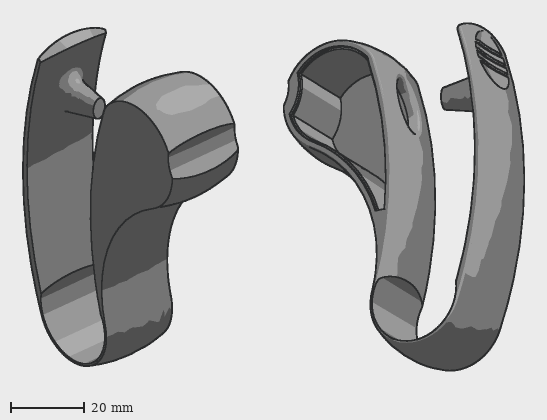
import cadquery as cq
import math

WIDTH = 24.0
HALF_WIDTH = WIDTH / 2
CROWN = 1.5
BACK_FILLET = 0.6

LOOP_INNER_R = 13.3
LOOP_OUTER_R = 15.5

HEAD_CENTER = (25.8, 63.7)
HEAD_R = 17.2
NECK_R = 38.6
ARM_OUTER_R = 121.9
ARM_CENTER_Z = 37.6
ARM_INNER_CENTER = (102.0, 39.1)
ARM_INNER_R = 119.6
HEAD_SIDE_CENTER = (119.6, 37.0)
HEAD_SIDE_R = 113.8
GAP_LEFT_Z = 1.9
GAP_RIGHT_Z = 5.8
HEAD_CORNER_FILLET = 7.7

TIP_OUTER_Z = 79.5
TIP_INNER_Z = 77.7
TIP_FILLET = 0.6
TIP_DROP = 1.6

NOTCH_CENTER = (49.8, 68.9)
NOTCH_R = 10.0

POCKET_WALL = 3.8
LID_LEDGE = 0.6
LID_DEPTH = 1.0
POCKET_FLOOR = 1.9
POCKET_BOTTOM_Z = 27.0

LATCH_Y = -0.3

POST_Z = 61.0
POST_ROOT_X = -17.4
POST_END_X = -2.5
POST_ROOT_SIZE = (9.6, 12.15)
POST_END_SIZE = (4.2, 6.5)
POST_TILT_DROP = 0.8
POST_FILLET = 3.4
OPENING_SIZE = (9.3, 16.0)
OPENING_FILLET = 1.35

DISH_Z = 69.4
DISH_ROUND_R = 50.1
DISH_ALONG_R = 38.6
DISH_HALF_LENGTH = 11.6
DISH_DEPTH = 1.35
RIB_HEIGHT = 0.4
RIB_WIDTH = 1.0
RIB_PITCH = 2.9
RIB_MIDDLE_Z = 70.0

ARM_CENTER = (math.sqrt((ARM_OUTER_R - LOOP_OUTER_R) ** 2 - ARM_CENTER_Z**2), ARM_CENTER_Z)


def circle_crossing(center_a, radius_a, center_b, radius_b, side):
    """Crossing of two circles; side +1 is left of the line from a to b, -1 is right."""
    dx = center_b[0] - center_a[0]
    dz = center_b[1] - center_a[1]
    gap = math.hypot(dx, dz)
    along = (radius_a**2 - radius_b**2 + gap**2) / (2 * gap)
    across = side * math.sqrt(radius_a**2 - along**2)
    x = center_a[0] + (along * dx - across * dz) / gap
    z = center_a[1] + (along * dz + across * dx) / gap
    return (x, z)


NECK_CENTER = circle_crossing(
    (0, 0), LOOP_OUTER_R + NECK_R, HEAD_CENTER, HEAD_R + NECK_R, -1
)


def toward(start, target, distance):
    """Point at a distance from start on the line to target."""
    length = math.hypot(target[0] - start[0], target[1] - start[1])
    x = start[0] + (target[0] - start[0]) * distance / length
    z = start[1] + (target[1] - start[1]) * distance / length
    return (x, z)


def left_point(center, radius, z):
    """Point at height z on the left half of a circle."""
    return (center[0] - math.sqrt(radius**2 - (z - center[1]) ** 2), z)


def arc_middle(center, radius, start, end):
    """Middle of the shorter arc between two points of a circle."""
    chord_middle = ((start[0] + end[0]) / 2, (start[1] + end[1]) / 2)
    return toward(center, chord_middle, radius)


def xz_plane(y):
    return cq.Workplane("XZ", origin=(0, y, 0))


def side_outline(y, inset):
    """Closed outline of the clip, without the round loop opening, shrunk by an inset."""
    loop_r = LOOP_OUTER_R - inset
    neck_r = NECK_R + inset
    head_r = HEAD_R - inset
    arm_outer_r = ARM_OUTER_R - inset
    arm_inner_r = ARM_INNER_R + inset
    head_side_r = HEAD_SIDE_R - inset

    tip_outer = left_point(ARM_CENTER, arm_outer_r, TIP_OUTER_Z - TIP_DROP * inset)
    tip_inner = left_point(ARM_INNER_CENTER, arm_inner_r, TIP_INNER_Z - TIP_DROP * inset)
    arm_end = toward(ARM_CENTER, (0, 0), arm_outer_r)
    neck_start = toward((0, 0), NECK_CENTER, loop_r)
    neck_end = toward(HEAD_CENTER, NECK_CENTER, head_r)
    head_corner = circle_crossing(HEAD_CENTER, head_r, HEAD_SIDE_CENTER, head_side_r, 1)
    gap_right = left_point(HEAD_SIDE_CENTER, head_side_r, GAP_RIGHT_Z)
    gap_left = left_point(ARM_INNER_CENTER, arm_inner_r, GAP_LEFT_Z)

    return (
        xz_plane(y)
        .moveTo(*tip_outer)
        .threePointArc(arc_middle(ARM_CENTER, arm_outer_r, tip_outer, arm_end), arm_end)
        .threePointArc((0, -loop_r), neck_start)
        .threePointArc(arc_middle(NECK_CENTER, neck_r, neck_start, neck_end), neck_end)
        .threePointArc((HEAD_CENTER[0] + head_r, HEAD_CENTER[1]), head_corner)
        .threePointArc(
            arc_middle(HEAD_SIDE_CENTER, head_side_r, head_corner, gap_right), gap_right
        )
        .lineTo(*gap_left)
        .threePointArc(
            arc_middle(ARM_INNER_CENTER, arm_inner_r, gap_left, tip_inner), tip_inner
        )
        .close()
        .val()
    )


def crowned_body():
    sections = [
        side_outline(-HALF_WIDTH, CROWN),
        side_outline(0, 0),
        side_outline(HALF_WIDTH, CROWN),
    ]
    body = cq.Workplane(cq.Solid.makeLoft(sections))
    corner = circle_crossing(HEAD_CENTER, HEAD_R, HEAD_SIDE_CENTER, HEAD_SIDE_R, 1)
    corner_edge = cq.selectors.NearestToPointSelector((corner[0], 0, corner[1]))
    tip = left_point(ARM_CENTER, ARM_OUTER_R, TIP_OUTER_Z)
    tip_edge = cq.selectors.NearestToPointSelector((tip[0], 0, tip[1]))
    body = body.edges(corner_edge).fillet(HEAD_CORNER_FILLET)
    body = body.edges(tip_edge).fillet(TIP_FILLET)
    return body.faces(">Y").edges().fillet(BACK_FILLET)


def cylinder_across(center, radius):
    return xz_plane(WIDTH).center(*center).circle(radius).extrude(2 * WIDTH)


def pocket_layer(wall, depth):
    """Head-shaped cavity, a wall thickness inside the outline, cut in from the +Y face."""
    head_r = HEAD_R - wall
    neck_r = NECK_R + wall
    side_r = HEAD_SIDE_R - wall
    left_end = left_point(HEAD_SIDE_CENTER, side_r, POCKET_BOTTOM_Z)
    right_end = left_point(NECK_CENTER, neck_r, POCKET_BOTTOM_Z)
    neck_end = toward(HEAD_CENTER, NECK_CENTER, head_r)
    corner = circle_crossing(HEAD_CENTER, head_r, HEAD_SIDE_CENTER, side_r, 1)
    head_far = (HEAD_CENTER[0] + head_r, HEAD_CENTER[1])
    return (
        xz_plane(HALF_WIDTH)
        .moveTo(*left_end)
        .threePointArc(arc_middle(HEAD_SIDE_CENTER, side_r, left_end, corner), corner)
        .threePointArc(head_far, neck_end)
        .threePointArc(arc_middle(NECK_CENTER, neck_r, neck_end, right_end), right_end)
        .close()
        .extrude(depth)
        .cut(cylinder_across(NOTCH_CENTER, NOTCH_R + wall))
    )


def pocket():
    cavity = pocket_layer(POCKET_WALL, WIDTH - POCKET_FLOOR)
    return cavity.union(pocket_layer(POCKET_WALL - LID_LEDGE, LID_DEPTH))


def post():
    return (
        cq.Workplane("YZ", origin=(POST_ROOT_X, LATCH_Y, POST_Z - POST_TILT_DROP))
        .ellipse(POST_ROOT_SIZE[0] / 2, POST_ROOT_SIZE[1] / 2)
        .workplane(offset=POST_END_X - POST_ROOT_X)
        .center(0, POST_TILT_DROP)
        .ellipse(POST_END_SIZE[0] / 2, POST_END_SIZE[1] / 2)
        .loft()
    )


def opening():
    return (
        cq.Workplane("YZ", origin=(0, LATCH_Y, POST_Z))
        .ellipse(OPENING_SIZE[0] / 2, OPENING_SIZE[1] / 2)
        .extrude(HEAD_CENTER[0])
    )


def scoop(depth):
    """Doubly curved cutter whose deepest point lies a depth below the outside of the arm."""
    surface = left_point(ARM_CENTER, ARM_OUTER_R, DISH_Z)
    deepest = toward(ARM_CENTER, surface, ARM_OUTER_R - depth)
    tilt = math.degrees(math.asin((DISH_Z - ARM_CENTER[1]) / ARM_OUTER_R))
    end_x = math.sqrt(DISH_ALONG_R**2 - DISH_HALF_LENGTH**2) - DISH_ALONG_R
    return (
        cq.Workplane("XZ")
        .moveTo(end_x, -DISH_HALF_LENGTH)
        .threePointArc((0, 0), (end_x, DISH_HALF_LENGTH))
        .close()
        .revolve(360, (-DISH_ROUND_R, 0), (-DISH_ROUND_R, 1))
        .rotate((0, 0, 0), (0, 1, 0), tilt)
        .translate((deepest[0], LATCH_Y, deepest[1]))
    )


def dish():
    surface = left_point(ARM_CENTER, ARM_OUTER_R, DISH_Z)
    cutter = scoop(DISH_DEPTH)
    for step in (-1, 0, 1):
        rib_z = RIB_MIDDLE_Z + step * RIB_PITCH
        rib = cq.Workplane("XY").box(WIDTH, WIDTH, RIB_WIDTH)
        cutter = cutter.cut(rib.translate((surface[0], 0, rib_z)))
    return cutter.union(scoop(DISH_DEPTH - RIB_HEIGHT))


def fillet_post_root(body):
    root_point = left_point(ARM_INNER_CENTER, ARM_INNER_R, POST_Z)
    root = cq.selectors.NearestToPointSelector((root_point[0], LATCH_Y, root_point[1]))
    return body.edges(root).fillet(POST_FILLET)


def fillet_opening_rim(body):
    rim_point = left_point(HEAD_SIDE_CENTER, HEAD_SIDE_R, POST_Z)
    rim = cq.selectors.NearestToPointSelector((rim_point[0], LATCH_Y, rim_point[1]))
    return body.edges(rim).fillet(OPENING_FILLET)


result = crowned_body().cut(cylinder_across((0, 0), LOOP_INNER_R))
result = fillet_post_root(result.union(post()))
result = result.cut(dish())
result = result.cut(cylinder_across(NOTCH_CENTER, NOTCH_R))
result = result.cut(pocket())
result = fillet_opening_rim(result.cut(opening()))